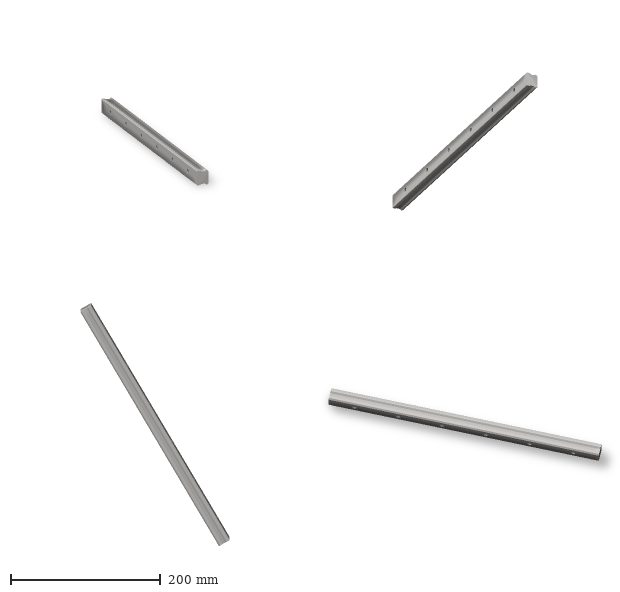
import cadquery as cq

length = 370
depth = 16.5
width = 20.0

base_chamfer = 0.55
head_chamfer = 2.0
groove_depth = 1.5
groove_base_edge = 4.5
groove_base_slope = 2.2
groove_head_edge = 13.5
groove_head_slope = 2.4
groove_head_fillet = 2.0

hole_diameter = 6.0
hole_count = 6
hole_pitch = 60.0
first_hole_offset = 35.0


def make_rail():
    """Extrude the profile, which is symmetric about Z = 0, along X."""
    half_width = width / 2
    floor = half_width - groove_depth
    upper_half = [
        (0, half_width - base_chamfer),
        (base_chamfer, half_width),
        (groove_base_edge, half_width),
        (groove_base_edge + groove_base_slope, floor),
        (groove_head_edge - groove_head_slope, floor),
        (groove_head_edge, half_width),
        (depth - head_chamfer, half_width),
        (depth, half_width - head_chamfer),
    ]
    lower_half = [(y, -z) for y, z in reversed(upper_half)]
    rail = cq.Workplane("YZ").polyline(upper_half + lower_half).close().extrude(length)

    for z in (floor, -floor):
        corner = (length / 2, groove_head_edge - groove_head_slope, z)
        rail = rail.edges(cq.NearestToPointSelector(corner)).fillet(groove_head_fillet)
    return rail


def make_holes():
    """Plain cylinders along Y, evenly pitched from the -X end."""
    centres = [(first_hole_offset + i * hole_pitch, 0) for i in range(hole_count)]
    return cq.Workplane("XZ").pushPoints(centres).circle(hole_diameter / 2).extrude(-depth)


result = make_rail().cut(make_holes())